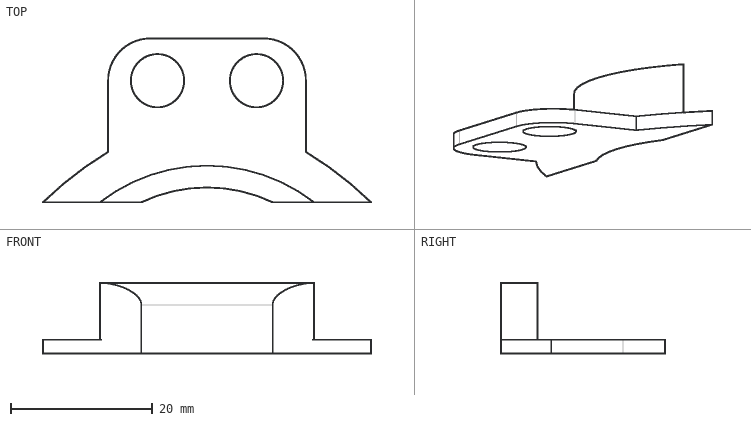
import cadquery as cq
import math

cut_y = 19.5
total_width = 46.42
total_depth = 23.2
total_height = 10.0
plate_thickness = 2.0

tab_width = 28.0
tab_corner_radius = 6.0
hole_diameter = 7.5
hole_spacing = 14.0

flank_radius = 50.0
flank_depth = 7.13

wall_half_chord = 15.15
lip_radius = 3.1

tab_end_y = cut_y + total_depth
hole_y = tab_end_y - tab_corner_radius
wall_outer_radius = math.hypot(wall_half_chord, cut_y)
wall_inner_radius = wall_outer_radius - lip_radius


def make_plate():
    """Flat plate: a rounded tab flanked by two wings that taper to tips on the cut face."""
    tip_x = total_width / 2
    tab_x = tab_width / 2
    flank_y = cut_y + flank_depth
    return (
        cq.Workplane("XY")
        .moveTo(-tip_x, cut_y)
        .lineTo(tip_x, cut_y)
        .radiusArc((tab_x, flank_y), -flank_radius)
        .lineTo(tab_x, tab_end_y)
        .lineTo(-tab_x, tab_end_y)
        .lineTo(-tab_x, flank_y)
        .radiusArc((-tip_x, cut_y), -flank_radius)
        .close()
        .extrude(plate_thickness)
        .edges("|Z and >Y")
        .fillet(tab_corner_radius)
    )


def make_wall():
    """Ring wall whose top rounds over from the outer rim to the bore."""
    lip_start_z = total_height - lip_radius
    lip_mid_offset = lip_radius * math.sqrt(0.5)
    lip_midpoint = (wall_outer_radius - lip_mid_offset, lip_start_z + lip_mid_offset)
    return (
        cq.Workplane("XZ")
        .moveTo(wall_inner_radius, 0)
        .lineTo(wall_outer_radius, 0)
        .lineTo(wall_outer_radius, total_height)
        .threePointArc(lip_midpoint, (wall_inner_radius, lip_start_z))
        .close()
        .revolve(360, (0, 0, 0), (0, 1, 0))
    )


def make_bore():
    """Cylinder that clears the ring's inside out of the plate."""
    return cq.Workplane("XY").circle(wall_inner_radius).extrude(total_height)


def make_tab_holes():
    """Two mounting holes level with the centres of the tab's rounded corners."""
    return (
        cq.Workplane("XY")
        .pushPoints([(-hole_spacing / 2, hole_y), (hole_spacing / 2, hole_y)])
        .circle(hole_diameter / 2)
        .extrude(plate_thickness)
    )


def make_kept_region():
    """Box covering everything on the +Y side of the cut face."""
    return (
        cq.Workplane("XY")
        .box(total_width, total_depth, total_height, centered=(True, False, False))
        .translate((0, cut_y, 0))
    )


result = (
    make_plate()
    .cut(make_bore())
    .union(make_wall())
    .cut(make_tab_holes())
    .intersect(make_kept_region())
)